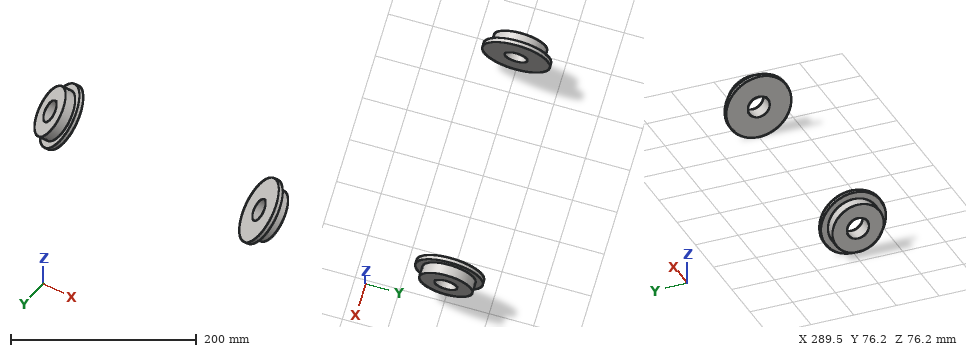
import cadquery as cq

overall_length = 289.5
flange_diameter = 76.2
flange_thickness = 5.2
hub_diameter = 60.0
hub_length = 12.5
bore_diameter = 25.5


def make_bushing(side):
    """Flanged bushing whose hub end face is outermost; side is -1 or +1 along X."""
    outer_face = cq.Workplane("YZ").workplane(offset=side * overall_length / 2)
    flange_face = cq.Workplane("YZ").workplane(offset=side * (overall_length / 2 - hub_length))

    hub = outer_face.circle(hub_diameter / 2).extrude(-side * hub_length)
    flange = flange_face.circle(flange_diameter / 2).extrude(-side * flange_thickness)
    bore = outer_face.circle(bore_diameter / 2).extrude(-side * (hub_length + flange_thickness))
    return hub.union(flange).cut(bore)


bushings = [make_bushing(side) for side in (-1, 1)]

result = cq.Compound.makeCompound([bushing.val() for bushing in bushings])